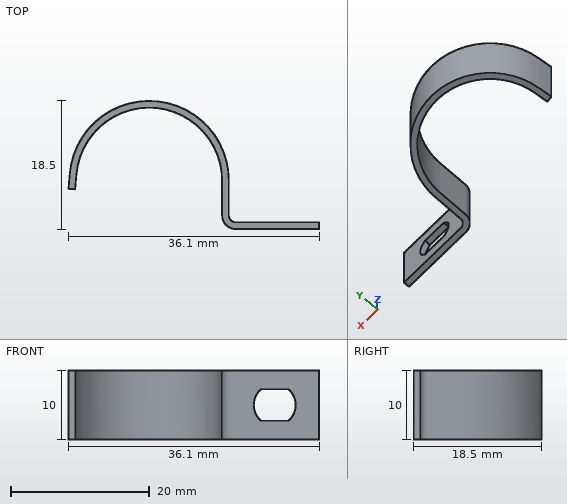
import cadquery as cq
import math

thickness = 1.0
strip_width = 10.0

outer_radius = 11.5
inner_radius = outer_radius - thickness
lip_angle = math.radians(5)
lip_length = 2.2

foot_drop = 7.0
bend_inner_radius = 1.0
bend_outer_radius = bend_inner_radius + thickness
foot_end = 24.5

hole_center_x = 18.1
hole_diameter = 6.0
hole_height = 4.5


def lip_start(radius):
    """Point where the arc of the given radius runs into the straight lip."""
    return (-radius * math.cos(lip_angle), radius * math.sin(lip_angle))


def lip_end(radius):
    """Free end of the lip, tangent to the arc of the given radius."""
    x, y = lip_start(radius)
    return (x - lip_length * math.sin(lip_angle), y - lip_length * math.cos(lip_angle))


def make_strip():
    """Bent strip: lip, saddle arc, leg, bend and foot."""
    bend_x = outer_radius + bend_inner_radius
    bend_y = -foot_drop + bend_outer_radius
    diagonal = math.sqrt(0.5)
    outer_bend_mid = (bend_x - bend_outer_radius * diagonal, bend_y - bend_outer_radius * diagonal)
    inner_bend_mid = (bend_x - bend_inner_radius * diagonal, bend_y - bend_inner_radius * diagonal)

    profile = (
        cq.Workplane("XY")
        .moveTo(*lip_end(outer_radius))
        .lineTo(*lip_start(outer_radius))
        .threePointArc((0, outer_radius), (outer_radius, 0))
        .lineTo(outer_radius, bend_y)
        .threePointArc(inner_bend_mid, (bend_x, bend_y - bend_inner_radius))
        .lineTo(foot_end, -foot_drop + thickness)
        .lineTo(foot_end, -foot_drop)
        .lineTo(bend_x, -foot_drop)
        .threePointArc(outer_bend_mid, (inner_radius, bend_y))
        .lineTo(inner_radius, 0)
        .threePointArc((0, inner_radius), lip_start(inner_radius))
        .lineTo(*lip_end(inner_radius))
        .close()
    )
    return profile.extrude(strip_width / 2, both=True)


def make_hole_cutter():
    """Cylinder through the foot along Y, trimmed to the hole height."""
    foot_mid_y = -foot_drop + thickness / 2
    cutter_depth = 2 * thickness
    cylinder = (
        cq.Workplane("XZ", origin=(hole_center_x, foot_mid_y, 0))
        .circle(hole_diameter / 2)
        .extrude(cutter_depth / 2, both=True)
    )
    trim = cq.Workplane("XY").box(hole_diameter, cutter_depth, hole_height)
    return cylinder.intersect(trim.translate((hole_center_x, foot_mid_y, 0)))


result = make_strip().cut(make_hole_cutter())